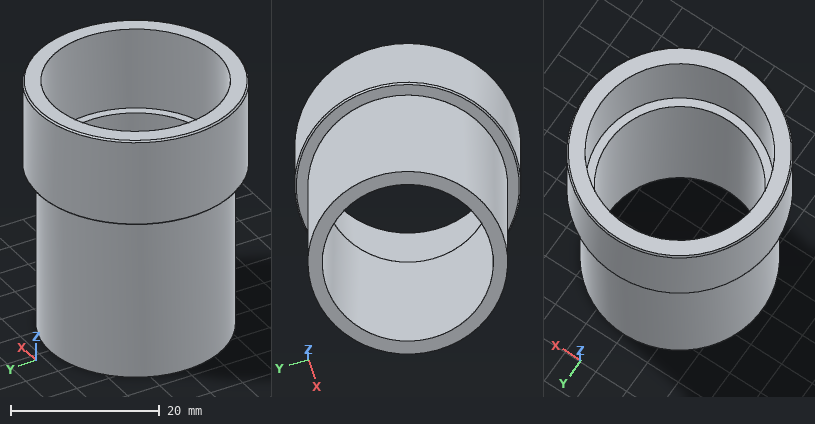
import cadquery as cq

total_height = 38.85
collar_diameter = 30.45
collar_height = 13.45
collar_chamfer = 0.25
spigot_diameter = 26.9

socket_diameter = 25.5
socket_depth = 12.6
bore_diameter = 23.0


def cylinder(diameter, bottom, top):
    """Solid cylinder on the Z axis between two heights."""
    return cq.Workplane("XY").workplane(offset=bottom).circle(diameter / 2).extrude(top - bottom)


collar = cylinder(collar_diameter, total_height - collar_height, total_height)
collar = collar.edges("%CIRCLE").chamfer(collar_chamfer)
spigot = cylinder(spigot_diameter, 0, total_height)
body = spigot.union(collar)

socket = cylinder(socket_diameter, total_height - socket_depth, total_height)
bore = cylinder(bore_diameter, 0, total_height)

result = body.cut(bore).cut(socket)